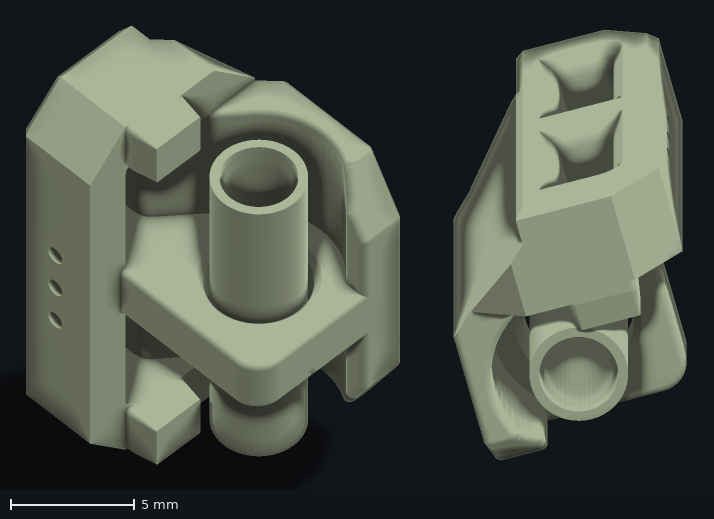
import cadquery as cq
import math

overall_length = 12.0
overall_width = 10.0
overall_height = 20.0
half_height = overall_height / 2

tube_outer_diameter = 4.0
tube_inner_diameter = 3.2
tube_height = 15.0
bore_diameter = 4.5
bore_chamfer = 0.3
bore_wall = 1.5
axis_x = overall_length - bore_wall - bore_diameter / 2
axis_y = 5.5

plate_depth = 4.1
plate_back_x = 4.45
plate_width = 6.0
plate_edge_chamfer = 0.4
corner_chamfer = 2.0
slope_start_x = 1.45
shoulder_y = 6.68

window_low_y = 2.02
window_high_y = 4.35
window_corner_radius = 0.45
window_chamfer = 0.62
window_blend_radius = 0.8
cavity_blend_radius = 1.0

wall_half_height = tube_height / 2
wall_arc_radius = 3.55
slant_angle = 50.0
lip_y = 7.75
lip_blend_radius = 0.45
wall_end_half_height = 4.52
wall_end_angle = 30.0
edge_radius = 0.3

lug_half_height = 1.32
lug_low_y = 1.7
lug_root_x = 2.8
lug_corner_radius = 1.25

boss_low_y = 2.0
boss_high_y = 4.9
boss_corner_radius = 0.28
boss_straight_end_x = 4.52
boss_end_x = 5.7
boss_taper = 10.0

mark_diameter = 0.8
mark_depth = 0.2
mark_x = 2.08
mark_pitch = 2.0

slant = math.radians(slant_angle)
slant_tangent_x = axis_x - wall_arc_radius * math.sin(slant)
slant_tangent_y = axis_y + wall_arc_radius * math.cos(slant)


def slant_x(y):
    """X of the slanted plane at a given Y."""
    return slant_tangent_x + (y - slant_tangent_y) / math.tan(slant)


def slant_y(x):
    """Y of the slanted plane at a given X."""
    return slant_tangent_y + (x - slant_tangent_x) * math.tan(slant)


def slope_y(x):
    """Y of the outer 45 degree face at a given X."""
    return plate_width + x - slope_start_x


def plate_blank():
    """Solid plate before the windows are cut."""
    step_y = (boss_low_y + boss_high_y) / 2
    plan = [
        (0, 0),
        (plate_depth, 0),
        (plate_depth, step_y),
        (plate_back_x, step_y),
        (plate_back_x, slope_y(plate_back_x)),
        (slope_start_x, plate_width),
        (0, plate_width),
    ]
    blank = cq.Workplane("XY").polyline(plan).close().extrude(half_height, both=True)

    low_z = half_height - corner_chamfer
    high_z = half_height - (overall_width - shoulder_y)
    elevation = [
        (0, -low_z),
        (corner_chamfer, -half_height),
        (shoulder_y, -half_height),
        (overall_width, -high_z),
        (overall_width, high_z),
        (shoulder_y, half_height),
        (corner_chamfer, half_height),
        (0, low_z),
    ]
    envelope = cq.Workplane("YZ").polyline(elevation).close().extrude(overall_length)
    return blank.intersect(envelope).faces("<X").edges().chamfer(plate_edge_chamfer)


def window_cavity():
    """Upper window together with the hollow behind it, up to the slanted plane."""
    plan = [
        (0, window_low_y),
        (plate_back_x, window_low_y),
        (plate_back_x, slant_y(plate_back_x)),
        (slant_x(window_high_y), window_high_y),
        (0, window_high_y),
    ]
    cavity_height = wall_half_height - lug_half_height
    cavity = cq.Workplane("XY", origin=(0, 0, lug_half_height)).polyline(plan).close().extrude(cavity_height)
    inner_corner = cq.selectors.NearestToPointSelector(
        (slant_x(window_high_y), window_high_y, lug_half_height + cavity_height / 2)
    )
    cavity = cavity.edges(inner_corner).fillet(cavity_blend_radius)
    return cavity.faces("<Y").edges(">Z").fillet(window_corner_radius)


def plate():
    """Plate with both windows and the hollow behind them."""
    cavity = window_cavity()
    body = plate_blank().cut(cavity).cut(cavity.mirror("XY"))
    outer_rims = body.faces("<X").val().innerWires()
    body = body.newObject([edge for rim in outer_rims for edge in rim.Edges()]).chamfer(window_chamfer)

    margin = 0.02
    inner_rims = cq.selectors.BoxSelector(
        (window_chamfer - margin, window_low_y - margin, -wall_half_height - margin),
        (window_chamfer + margin, window_high_y + margin, wall_half_height + margin),
    )
    return body.edges(inner_rims).fillet(window_blend_radius)


def back_wall():
    """Wall behind the tube; it starts inside the plate and is trimmed after its edges are rounded."""
    corner_y = lip_y + lip_blend_radius
    centre_distance = wall_arc_radius + lip_blend_radius
    corner_x = axis_x + math.sqrt(centre_distance**2 - (corner_y - axis_y) ** 2)
    arc_share = wall_arc_radius / centre_distance
    arc_end = (axis_x + (corner_x - axis_x) * arc_share, axis_y + (corner_y - axis_y) * arc_share)
    toward_arc = math.atan2(axis_y - corner_y, axis_x - corner_x)
    middle_angle = (toward_arc - math.pi / 2) / 2
    corner_middle = (
        corner_x + lip_blend_radius * math.cos(middle_angle),
        corner_y + lip_blend_radius * math.sin(middle_angle),
    )
    wall = (
        cq.Workplane("XY")
        .moveTo(slope_start_x, slant_y(slope_start_x))
        .lineTo(slant_tangent_x, slant_tangent_y)
        .threePointArc((axis_x, axis_y + wall_arc_radius), arc_end)
        .threePointArc(corner_middle, (corner_x, lip_y))
        .lineTo(overall_length, lip_y)
        .lineTo(overall_length, overall_width)
        .lineTo(slope_start_x, overall_width)
        .close()
        .extrude(wall_half_height, both=True)
    )
    end_rise = wall_half_height - wall_end_half_height
    end_x = overall_length - end_rise * math.tan(math.radians(wall_end_angle))
    elevation = [
        (0, -wall_half_height),
        (end_x, -wall_half_height),
        (overall_length, -wall_end_half_height),
        (overall_length, wall_end_half_height),
        (end_x, wall_half_height),
        (0, wall_half_height),
    ]
    envelope = cq.Workplane("XZ").polyline(elevation).close().extrude(-overall_width)
    wall = wall.intersect(envelope)

    wall = wall.edges("|Y and (not <X)").fillet(edge_radius)
    wall = wall.edges("(not (<X or |Z)) or (|Z and >X)").fillet(edge_radius)

    keep = (
        cq.Workplane("XY")
        .polyline(
            [
                (plate_back_x, 0),
                (overall_length, 0),
                (overall_length, overall_width),
                (slope_start_x + overall_width - plate_width, overall_width),
                (plate_back_x, slope_y(plate_back_x)),
            ]
        )
        .close()
        .extrude(wall_half_height, both=True)
    )
    return wall.intersect(keep)


def lug():
    """Lug with a rounded free side; its other sides end inside the plate and the back wall."""
    far_y = axis_y + wall_arc_radius
    plan = [
        (lug_root_x, lug_low_y),
        (overall_length, lug_low_y),
        (overall_length, far_y),
        (slant_x(far_y), far_y),
        (lug_root_x, slant_y(lug_root_x)),
    ]
    body = cq.Workplane("XY").polyline(plan).close().extrude(lug_half_height, both=True)
    body = body.edges("|Z and >X and <Y").fillet(lug_corner_radius)
    return body.faces("<Y").edges("|X").fillet(edge_radius)


def boss():
    """Upper snap boss: a straight root and a tapered end."""
    width = boss_high_y - boss_low_y
    height = half_height - wall_half_height
    centre = ((boss_low_y + boss_high_y) / 2, half_height - height / 2)

    def section(start_x):
        outline = cq.Sketch().rect(width, height).vertices().fillet(boss_corner_radius)
        return cq.Workplane("YZ", origin=(start_x, *centre)).placeSketch(outline)

    root = section(plate_depth).extrude(boss_straight_end_x - plate_depth)
    end = section(boss_straight_end_x).extrude(boss_end_x - boss_straight_end_x, taper=boss_taper)
    return root.union(end)


def bore():
    """Bore through the lug with a chamfer at each mouth."""
    radius = bore_diameter / 2
    profile = [
        (0, 0),
        (radius, 0),
        (radius, lug_half_height - bore_chamfer),
        (radius + bore_chamfer, lug_half_height),
        (0, lug_half_height),
    ]
    upper = (
        cq.Workplane("XZ", origin=(axis_x, axis_y, 0))
        .polyline(profile)
        .close()
        .revolve(axisStart=(0, 0), axisEnd=(0, 1))
    )
    return upper.union(upper.mirror("XY"))


def marks():
    """Row of shallow round recesses on the narrow side."""
    centres = [(mark_x, z) for z in (-mark_pitch, 0, mark_pitch)]
    return cq.Workplane("XZ").pushPoints(centres).circle(mark_diameter / 2).extrude(-mark_depth)


def make_housing():
    upper_boss = boss()
    body = plate().union(back_wall()).union(lug()).union(upper_boss).union(upper_boss.mirror("XY"))
    return body.cut(bore()).cut(marks())


def make_tube():
    return (
        cq.Workplane("XY")
        .center(axis_x, axis_y)
        .circle(tube_outer_diameter / 2)
        .circle(tube_inner_diameter / 2)
        .extrude(tube_height / 2, both=True)
    )


housing = make_housing()
tube = make_tube()

result = cq.Compound.makeCompound([housing.val(), tube.val()])